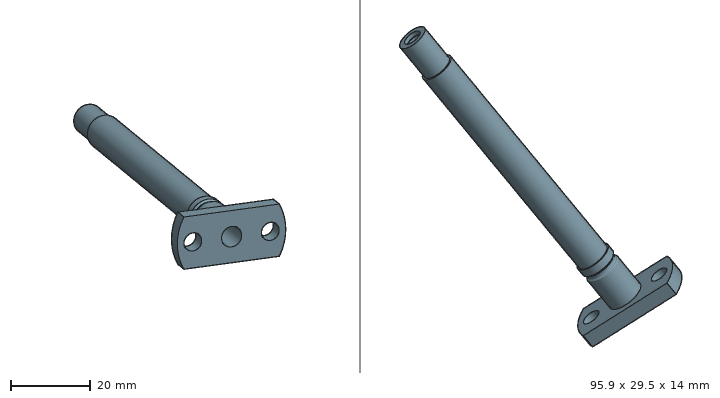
import cadquery as cq
import math

total_length = 95.9

flange_length = 29.5
flange_height = 14.0
flange_thickness = 4.0
flange_hole_diameter = 4.8
flange_hole_spacing = 21.1

tip_diameter = 8.0
tip_length = 10.55
body_diameter = 9.0
collar_diameter = 9.8
collar_start = 77.9
groove_diameter = 8.6
groove_start = 80.2
groove_wall = 81.9

bore_diameter = 5.5
mouth_diameter = 4.8
mouth_depth = 1.2

flange_start = total_length - flange_thickness


def cylinder(diameter, start, end):
    """Cylinder on the X axis between two stations."""
    return cq.Workplane("YZ", origin=(start, 0, 0)).circle(diameter / 2).extrude(end - start)


def make_shaft():
    """Turned shaft whose collar is cut by a groove with one sloping and one rounded side."""
    tip_radius = tip_diameter / 2
    body_radius = body_diameter / 2
    collar_radius = collar_diameter / 2
    groove_radius = groove_diameter / 2
    slope_end = groove_start + collar_radius - groove_radius
    round_radius = (collar_radius - groove_radius) / 2
    bend = round_radius * math.sin(math.pi / 4)
    wall_radius = groove_radius + round_radius
    hollow_middle = (groove_wall - round_radius + bend, wall_radius - bend)
    convex_middle = (groove_wall + round_radius - bend, wall_radius + bend)
    half_profile = (
        cq.Workplane("XY")
        .moveTo(0, 0)
        .lineTo(0, tip_radius)
        .lineTo(tip_length, tip_radius)
        .lineTo(tip_length, body_radius)
        .lineTo(collar_start, body_radius)
        .lineTo(collar_start, collar_radius)
        .lineTo(groove_start, collar_radius)
        .lineTo(slope_end, groove_radius)
        .lineTo(groove_wall - round_radius, groove_radius)
        .threePointArc(hollow_middle, (groove_wall, wall_radius))
        .threePointArc(convex_middle, (groove_wall + round_radius, collar_radius))
        .lineTo(total_length, collar_radius)
        .lineTo(total_length, 0)
        .close()
    )
    return half_profile.revolve(360, (0, 0, 0), (1, 0, 0))


def make_flange():
    """Round plate cut to two flats, with a mounting hole on each side."""
    disc = cylinder(flange_length, flange_start, total_length)
    flats = cq.Workplane("XY").box(2 * total_length, flange_length, flange_height)
    plate = disc.intersect(flats)
    for side in (-1, 1):
        hole = cylinder(flange_hole_diameter, flange_start, total_length)
        plate = plate.cut(hole.translate((0, side * flange_hole_spacing / 2, 0)))
    return plate


bore = cylinder(bore_diameter, mouth_depth, total_length)
mouth = cylinder(mouth_diameter, 0, mouth_depth)

result = make_shaft().union(make_flange()).cut(bore).cut(mouth)